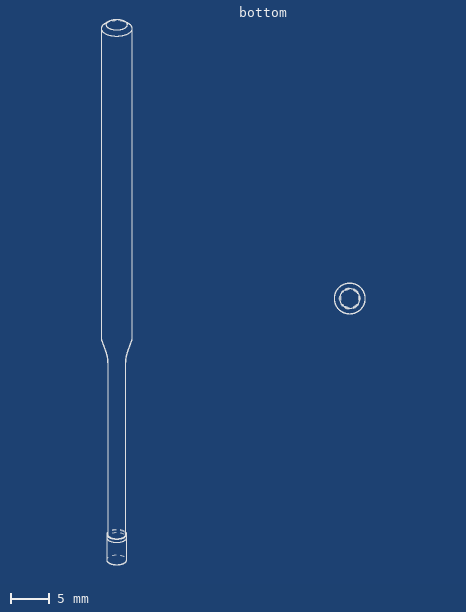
import cadquery as cq
import math

total_length = 80.0
shank_radius = 2.0
neck_radius = 1.16
head_radius = 1.3

head_length = 3.4
collar_top = 3.8
blend_bottom = 29.5
shank_bottom = 33.1

chamfer_height = 0.6
top_face_radius = 1.4

cone_angle = math.radians(17)
radius_drop = shank_radius - neck_radius
cone_foot = shank_bottom - radius_drop / math.tan(cone_angle)
tangent_length = cone_foot - blend_bottom
blend_radius = tangent_length / math.tan(cone_angle / 2)


def blend_point(angle):
    """Point (radius, height) on the blend arc, at an angle up from the neck."""
    return (
        neck_radius + blend_radius * (1 - math.cos(angle)),
        blend_bottom + blend_radius * math.sin(angle),
    )


def make_holder():
    """Shank, cone, neck and the short collar that carries the head."""
    return (
        cq.Workplane("XZ")
        .moveTo(0, head_length)
        .lineTo(head_radius, head_length)
        .lineTo(head_radius, collar_top)
        .lineTo(neck_radius, collar_top)
        .lineTo(neck_radius, blend_bottom)
        .threePointArc(blend_point(cone_angle / 2), blend_point(cone_angle))
        .lineTo(shank_radius, shank_bottom)
        .lineTo(shank_radius, total_length - chamfer_height)
        .lineTo(top_face_radius, total_length)
        .lineTo(0, total_length)
        .close()
        .revolve(360, (0, 0, 0), (0, 1, 0))
    )


def make_head():
    """Plain cylindrical head, flush with the collar above it."""
    return cq.Workplane("XY").circle(head_radius).extrude(head_length)


holder = make_holder()
head = make_head()

result = cq.Compound.makeCompound([holder.val(), head.val()])